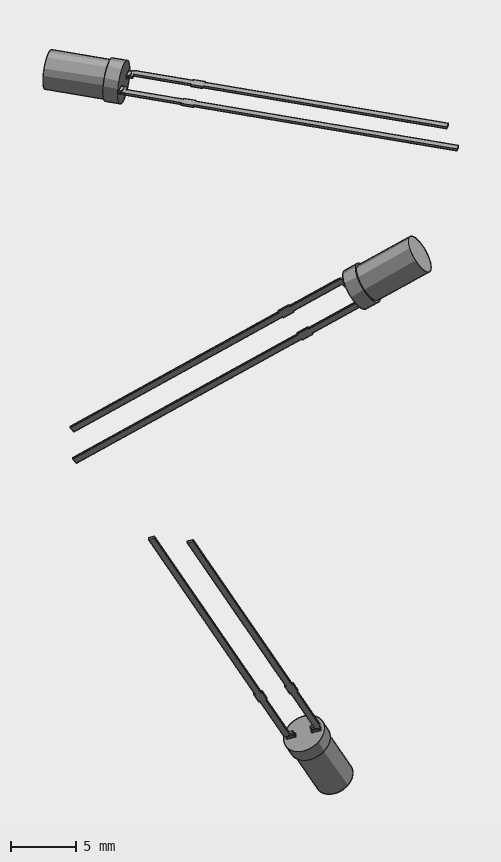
import cadquery as cq

total_length = 33.0
body_length = 6.0
lens_diameter = 3.1
flange_diameter = 3.4
flange_length = 1.2

collar_inner_y = 0.65
collar_outer_y = 1.42
collar_thickness = 0.3
collar_side_length = 0.13
collar_crown_length = 0.3

lead_pitch = 2.57
lead_width = 0.5
lead_thickness = 0.2
lead_center_z = 0.03
short_lead_cut = 1.55
stop_start = 11.05
stop_length = 1.0
stop_width = 0.7
root_length = 0.5
root_inner_y = 0.73
root_outer_y = 1.4


def centered_plate(outline, thickness):
    """Extrude a closed XY outline equally above and below Z = 0."""
    return outline.extrude(thickness / 2, both=True)


def make_collar(side):
    side_end = body_length + collar_side_length
    crown_end = body_length + collar_crown_length
    middle_y = (collar_inner_y + collar_outer_y) / 2
    outline = (
        cq.Workplane("XY")
        .moveTo(body_length, side * collar_inner_y)
        .lineTo(side_end, side * collar_inner_y)
        .threePointArc((crown_end, side * middle_y), (side_end, side * collar_outer_y))
        .lineTo(body_length, side * collar_outer_y)
        .close()
    )
    return centered_plate(outline, collar_thickness)


def make_lead(side, end):
    """Flat lead: a root that slants out to the wire, with a wider stop along it."""
    center_y = lead_pitch / 2
    wire_inner_y = center_y - lead_width / 2
    wire_outer_y = center_y + lead_width / 2
    root_end = body_length + root_length
    slant_start = body_length + collar_side_length
    points = [
        (body_length, root_inner_y),
        (root_end, root_inner_y),
        (root_end, wire_inner_y),
        (end, wire_inner_y),
        (end, wire_outer_y),
        (root_end, wire_outer_y),
        (slant_start, root_outer_y),
        (body_length, root_outer_y),
    ]
    outline = cq.Workplane("XY").polyline([(x, side * y) for x, y in points]).close()
    stop_outline = cq.Workplane(
        "XY", origin=(stop_start + stop_length / 2, side * center_y, 0)
    ).rect(stop_length, stop_width)
    lead = centered_plate(outline, lead_thickness).union(
        centered_plate(stop_outline, lead_thickness)
    )
    return lead.translate((0, 0, lead_center_z))


def make_housing(leads):
    """Lens, flange and collars, with a slot in each collar that fits its lead."""
    housing = cq.Workplane("YZ").circle(lens_diameter / 2).extrude(body_length)
    flange = (
        cq.Workplane("YZ", origin=(body_length - flange_length, 0, 0))
        .circle(flange_diameter / 2)
        .extrude(flange_length)
    )
    housing = housing.union(flange)
    for side in lead_ends:
        housing = housing.union(make_collar(side))
    for lead in leads:
        housing = housing.cut(lead)
    return housing


lead_ends = {-1: total_length, 1: total_length - short_lead_cut}
leads = [make_lead(side, end) for side, end in lead_ends.items()]
housing = make_housing(leads)

result = cq.Compound.makeCompound([housing.val(), *[lead.val() for lead in leads]])